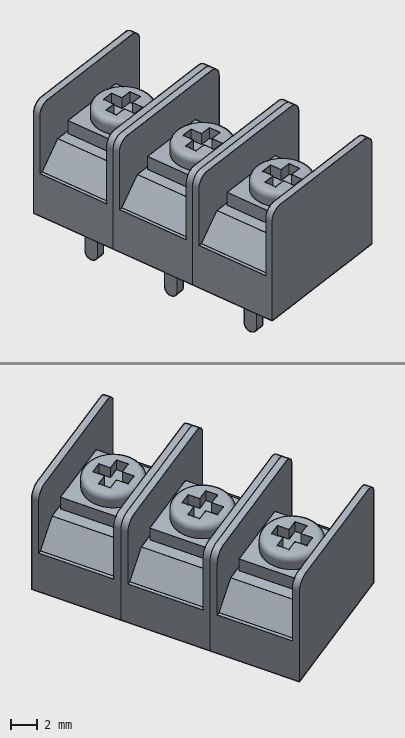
import cadquery as cq

POLE_COUNT = 3
TOTAL_LENGTH = 22.85
PITCH = TOTAL_LENGTH / POLE_COUNT
DEPTH = 12.5
HOUSING_HEIGHT = 10.4
WALL_CORNER_RADIUS = 1.0

CHANNEL_WIDTH = 6.4
SHOULDER_HEIGHT = 4.0
LEDGE_DEPTH = 0.3
SEAT_HEIGHT = 6.0
SEAT_DEPTH = 8.0

PLATE_SIDE = 6.0
PLATE_TOP = 7.2
SCREW_DIAMETER = 5.0
SCREW_TOP = 8.41
SCREW_EDGE_RADIUS = 0.5
CROSS_LENGTH = 3.0
CROSS_WIDTH = 1.0
CROSS_DEPTH = 1.0

PIN_WIDTH = 1.2
PIN_THICKNESS = 0.8
PIN_LENGTH = 4.0
PIN_Y = -3.61


def make_housing():
    """Block with rounded upper corners and a channel whose floor rises to a flat seat."""
    block = (
        cq.Workplane("XY")
        .box(PITCH, DEPTH, HOUSING_HEIGHT, centered=(True, True, False))
        .edges("|X and >Z")
        .fillet(WALL_CORNER_RADIUS)
    )
    end_y = DEPTH / 2
    slope_foot_y = end_y - LEDGE_DEPTH
    seat_y = SEAT_DEPTH / 2
    channel = (
        cq.Workplane("YZ")
        .moveTo(-end_y, HOUSING_HEIGHT)
        .lineTo(-end_y, SHOULDER_HEIGHT)
        .lineTo(-slope_foot_y, SHOULDER_HEIGHT)
        .lineTo(-seat_y, SEAT_HEIGHT)
        .lineTo(seat_y, SEAT_HEIGHT)
        .lineTo(slope_foot_y, SHOULDER_HEIGHT)
        .lineTo(end_y, SHOULDER_HEIGHT)
        .lineTo(end_y, HOUSING_HEIGHT)
        .close()
        .extrude(CHANNEL_WIDTH / 2, both=True)
    )
    return block.cut(channel)


def make_clamp_plate():
    """Square plate lying on the channel seat."""
    return (
        cq.Workplane("XY", origin=(0, 0, SEAT_HEIGHT))
        .rect(PLATE_SIDE, PLATE_SIDE)
        .extrude(PLATE_TOP - SEAT_HEIGHT)
    )


def make_screw_head():
    """Round head with a rounded rim and a cross recess."""
    head = (
        cq.Workplane("XY", origin=(0, 0, PLATE_TOP))
        .circle(SCREW_DIAMETER / 2)
        .extrude(SCREW_TOP - PLATE_TOP)
        .faces(">Z")
        .edges()
        .fillet(SCREW_EDGE_RADIUS)
    )
    top = cq.Workplane("XY", origin=(0, 0, SCREW_TOP))
    slot_along_x = top.rect(CROSS_LENGTH, CROSS_WIDTH).extrude(-CROSS_DEPTH)
    slot_along_y = top.rect(CROSS_WIDTH, CROSS_LENGTH).extrude(-CROSS_DEPTH)
    return head.cut(slot_along_x).cut(slot_along_y)


def make_pin():
    """Flat pin hanging below the housing, its tip a half circle across the width."""
    half_width = PIN_WIDTH / 2
    tip_start_z = half_width - PIN_LENGTH
    return (
        cq.Workplane("XZ", origin=(0, PIN_Y, 0))
        .moveTo(-half_width, 0)
        .lineTo(-half_width, tip_start_z)
        .threePointArc((0, -PIN_LENGTH), (half_width, tip_start_z))
        .lineTo(half_width, 0)
        .close()
        .extrude(PIN_THICKNESS / 2, both=True)
    )


def make_pole():
    """One terminal pole: housing, clamp plate, screw head and pin as a single solid."""
    return make_housing().union(make_clamp_plate()).union(make_screw_head()).union(make_pin())


poles = []
for index in range(POLE_COUNT):
    pole_x = (index - (POLE_COUNT - 1) / 2) * PITCH
    poles.append(make_pole().translate((pole_x, 0, 0)).val())

result = cq.Compound.makeCompound(poles)